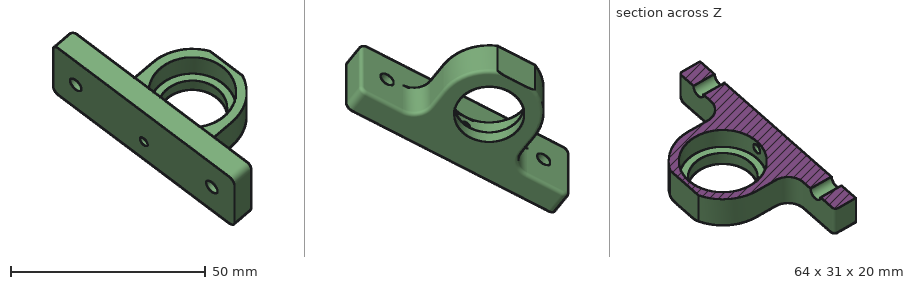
import cadquery as cq
import math

plate_length = 64.0
plate_height = 20.0
plate_thickness = 7.0
plate_corner_radius = 2.0

housing_radius = 14.0
housing_height = 11.0
root_fillet_radius = 5.0
overall_depth = 31.0

seat_diameter = 22.5
seat_depth = 7.0
through_diameter = 18.0

screw_hole_diameter = 4.0
screw_hole_spacing = 48.0
center_hole_diameter = 2.7

edge_round = 1.0

bore_center_y = plate_thickness + seat_diameter / 2
seat_floor_z = housing_height - seat_depth
center_hole_z = seat_floor_z + seat_depth / 2


def make_plate():
    """Plate with rounded corners; its front face stays sharp-edged."""
    return (
        cq.Workplane("XY")
        .box(plate_length, plate_thickness, plate_height, centered=(True, False, False))
        .edges("|Y")
        .fillet(plate_corner_radius)
    )


def make_housing():
    """Round-nosed block that flares into the plate's back face."""
    root_half_width = housing_radius + root_fillet_radius
    flare_end_y = plate_thickness + root_fillet_radius
    flare_mid = root_fillet_radius * math.sqrt(0.5)
    flare_mid_x = root_half_width - flare_mid
    flare_mid_y = flare_end_y - flare_mid
    return (
        cq.Workplane("XY")
        .moveTo(-root_half_width, plate_thickness)
        .threePointArc((-flare_mid_x, flare_mid_y), (-housing_radius, flare_end_y))
        .lineTo(-housing_radius, bore_center_y)
        .threePointArc((0, bore_center_y + housing_radius), (housing_radius, bore_center_y))
        .lineTo(housing_radius, flare_end_y)
        .threePointArc((flare_mid_x, flare_mid_y), (root_half_width, plate_thickness))
        .lineTo(root_half_width, plate_thickness / 2)
        .lineTo(-root_half_width, plate_thickness / 2)
        .close()
        .extrude(housing_height)
    )


def round_edges(body):
    """Round the plate's back edge and the housing's bottom edge as one tangent run."""
    top_back_point = (0, plate_thickness, plate_height)
    return body.edges(cq.selectors.NearestToPointSelector(top_back_point)).fillet(edge_round)


def cut_nose_flat(body):
    """Trim the round nose to a flat at the overall depth."""
    trim = (
        cq.Workplane("XY")
        .box(2 * housing_radius, housing_radius, housing_height, centered=(True, False, False))
        .translate((0, overall_depth, 0))
    )
    return body.cut(trim)


def bore_housing(body):
    """Cut the bearing seat from above and the through hole under it."""
    seat = (
        cq.Workplane("XY", origin=(0, bore_center_y, seat_floor_z))
        .circle(seat_diameter / 2)
        .extrude(seat_depth)
    )
    through_hole = (
        cq.Workplane("XY", origin=(0, bore_center_y, 0))
        .circle(through_diameter / 2)
        .extrude(housing_height)
    )
    return body.cut(seat).cut(through_hole)


def plate_hole(x, z, diameter):
    """Cylinder running along Y through the plate's thickness."""
    return (
        cq.Workplane("XZ", origin=(x, 0, z))
        .circle(diameter / 2)
        .extrude(-plate_thickness)
    )


def drill_plate(body):
    """Drill two screw holes and the centre hole that opens into the seat."""
    for side in (-1, 1):
        screw_x = side * screw_hole_spacing / 2
        body = body.cut(plate_hole(screw_x, plate_height / 2, screw_hole_diameter))
    center_hole = (
        cq.Workplane("XZ", origin=(0, 0, center_hole_z))
        .circle(center_hole_diameter / 2)
        .extrude(-bore_center_y)
    )
    return body.cut(center_hole)


blank = make_plate().union(make_housing())
trimmed = cut_nose_flat(round_edges(blank))
result = drill_plate(bore_housing(trimmed))